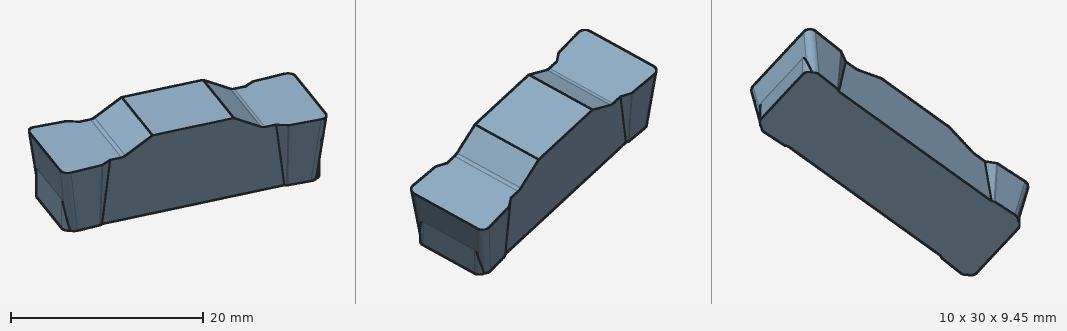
import cadquery as cq
import math

length = 29.95
width = 10.0
height = 9.45
half_length = length / 2

bar_half_width = 4.2
bar_corner_radius = 0.8
shoulder_height = 7.57
crown_half_length = 4.58
ramp_angle = 30.0
ramp_blend_radius = 0.9

corner_flare = 0.042
head_corner_half_width = width / 2 + corner_flare
head_hip_half_width = 4.82
hip_y = 10.48
neck_y = 9.35
head_inner_y = 8.38
end_draft = 7.0
side_draft = 4.0
hip_bottom_y = 10.55
head_corner_radius = 0.85
hip_radius = 0.25

step_height = 3.5
bar_half_length = half_length - (shoulder_height - step_height) * math.tan(math.radians(end_draft))


def make_bar():
    """Straight-sided bar with rounded ends and a ramped crown."""
    ramp_run = (height - shoulder_height) / math.tan(math.radians(ramp_angle))
    ramp_foot_y = crown_half_length + ramp_run
    profile = [
        (-bar_half_length, 0),
        (bar_half_length, 0),
        (bar_half_length, shoulder_height),
        (ramp_foot_y, shoulder_height),
        (crown_half_length, height),
        (-crown_half_length, height),
        (-ramp_foot_y, shoulder_height),
        (-bar_half_length, shoulder_height),
    ]
    bar = cq.Workplane("YZ").polyline(profile).close().extrude(bar_half_width, both=True)
    bar = bar.edges("|Z").fillet(bar_corner_radius)
    for side in (-1, 1):
        foot = cq.selectors.NearestToPointSelector((0, side * ramp_foot_y, shoulder_height))
        bar = bar.edges(foot).fillet(ramp_blend_radius)
    return bar


def head_outline(end_y, corner_half_width, hip_half_width, hip, neck):
    """Right half runs from the inner end outward; the left half mirrors it."""
    right = [
        (bar_half_width, head_inner_y),
        (bar_half_width, neck),
        (hip_half_width, hip),
        (corner_half_width, end_y),
    ]
    left = [(-x, y) for x, y in reversed(right)]
    return right + left


def make_head():
    """Head at the +Y end, narrowing downward under its draft angles."""
    end_inset = shoulder_height * math.tan(math.radians(end_draft))
    side_inset = shoulder_height * math.tan(math.radians(side_draft))
    bottom_end_y = half_length - end_inset
    bottom_corner_half_width = head_corner_half_width - side_inset

    flank_slope = (head_corner_half_width - head_hip_half_width) / (half_length - hip_y)
    hip_bottom_half_width = bottom_corner_half_width - flank_slope * (bottom_end_y - hip_bottom_y)
    neck_slope = (hip_y - neck_y) / (head_hip_half_width - bar_half_width)
    neck_bottom_y = hip_bottom_y - neck_slope * (hip_bottom_half_width - bar_half_width)

    bottom = head_outline(
        bottom_end_y, bottom_corner_half_width, hip_bottom_half_width, hip_bottom_y, neck_bottom_y
    )
    top = head_outline(half_length, head_corner_half_width, head_hip_half_width, hip_y, neck_y)
    head = (
        cq.Workplane("XY")
        .polyline(bottom).close()
        .workplane(offset=shoulder_height)
        .polyline(top).close()
        .loft(ruled=True, combine=True)
    )

    def round_edges(body, bottom_point, top_point, radius):
        for side in (-1, 1):
            x = side * (bottom_point[0] + top_point[0]) / 2
            y = (bottom_point[1] + top_point[1]) / 2
            middle = cq.selectors.NearestToPointSelector((x, y, shoulder_height / 2))
            body = body.edges(middle).fillet(radius)
        return body

    hip_index = 2
    corner_index = 3
    head = round_edges(head, bottom[corner_index], top[corner_index], head_corner_radius)
    return round_edges(head, bottom[hip_index], top[hip_index], hip_radius)


head = make_head()
result = make_bar().union(head).union(head.mirror("XZ"))